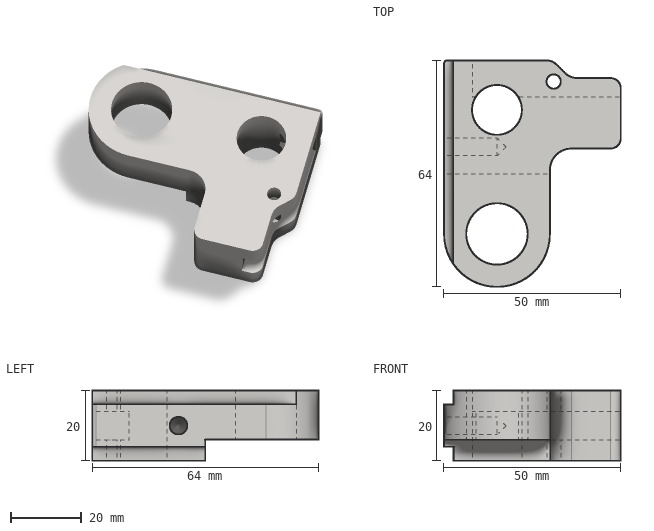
import cadquery as cq

length = 64.0
width = 50.0
height = 20.0
body_radius = 15.0
left_x = -body_radius
right_x = left_x + width
back_y = length - body_radius

arm_width = 20.0
shoulder_drop = 5.0
arm_back_y = back_y - shoulder_drop
arm_front_y = arm_back_y - arm_width
shoulder_x = 15.6
shoulder_convex_radius = 4.0
shoulder_concave_radius = 5.0
arm_corner_radius = 3.0
inner_corner_radius = 6.0

rebate_depth = 2.7
rebate_height = 4.0
lip_corner_radius = 1.0

relief_height = 6.0
relief_back_y = back_y - 32.0
relief_edge_radius = 0.2

end_bore_diameter = 17.3
back_bore_diameter = 14.0
back_bore_y = back_y - 14.0
pin_diameter = 4.0
pin_x = left_x + 31.0
pin_y = back_y - 6.0

slot_height = 8.0
slot_depth = 10.4

drill_diameter = 5.0
drill_depth = 15.0
drill_y = back_y - 24.4
drill_tip_length = drill_diameter / 2


def block(x_min, x_max, y_min, y_max, z_min, z_max):
    """Box given by its limits along each axis."""
    size = (x_max - x_min, y_max - y_min, z_max - z_min)
    return cq.Workplane("XY").box(*size, centered=False).translate((x_min, y_min, z_min))


def vertical_hole(x, y, diameter):
    """Cutter for a hole through the full height."""
    return cq.Workplane("XY").center(x, y).circle(diameter / 2).extrude(height)


def round_corner(solid, x, y, z, radius):
    """Round the vertical edge whose middle is at (x, y, z)."""
    edge = cq.selectors.NearestToPointSelector((x, y, z))
    return solid.edges("|Z").edges(edge).fillet(radius)


body = (
    cq.Workplane("XY")
    .moveTo(left_x, 0)
    .lineTo(left_x, back_y)
    .lineTo(shoulder_x, back_y)
    .lineTo(shoulder_x + shoulder_drop, arm_back_y)
    .lineTo(right_x, arm_back_y)
    .lineTo(right_x, arm_front_y)
    .lineTo(body_radius, arm_front_y)
    .lineTo(body_radius, 0)
    .threePointArc((0, -body_radius), (left_x, 0))
    .close()
    .extrude(height)
)
corners = [
    (left_x, back_y, lip_corner_radius),
    (shoulder_x, back_y, shoulder_convex_radius),
    (shoulder_x + shoulder_drop, arm_back_y, shoulder_concave_radius),
    (right_x, arm_back_y, arm_corner_radius),
    (right_x, arm_front_y, arm_corner_radius),
    (body_radius, arm_front_y, inner_corner_radius),
]
for corner_x, corner_y, corner_radius in corners:
    body = round_corner(body, corner_x, corner_y, height / 2, corner_radius)

for rebate_z in (0, height - rebate_height):
    body = body.cut(
        block(left_x, left_x + rebate_depth, -body_radius, back_y, rebate_z, rebate_z + rebate_height)
    )

body = body.cut(block(left_x, body_radius, -body_radius, relief_back_y, 0, relief_height))

rebate_edge_z = rebate_height / 2
lip_edge_z = (rebate_height + relief_height) / 2
body = round_corner(body, left_x + rebate_depth, relief_back_y, rebate_edge_z, relief_edge_radius)
body = round_corner(body, left_x, relief_back_y, lip_edge_z, relief_edge_radius)

body = body.cut(vertical_hole(0, 0, end_bore_diameter))
body = body.cut(vertical_hole(0, back_bore_y, back_bore_diameter))
body = body.cut(vertical_hole(pin_x, pin_y, pin_diameter))

slot_z = (height - slot_height) / 2
body = body.cut(
    block(-back_bore_diameter / 2, right_x, back_y - slot_depth, back_y, slot_z, slot_z + slot_height)
)

drill = (
    cq.Workplane("XY", origin=(left_x, drill_y, height / 2))
    .lineTo(0, drill_diameter / 2)
    .lineTo(drill_depth, drill_diameter / 2)
    .lineTo(drill_depth + drill_tip_length, 0)
    .close()
    .revolve(360, (0, 0, 0), (1, 0, 0))
)
result = body.cut(drill)